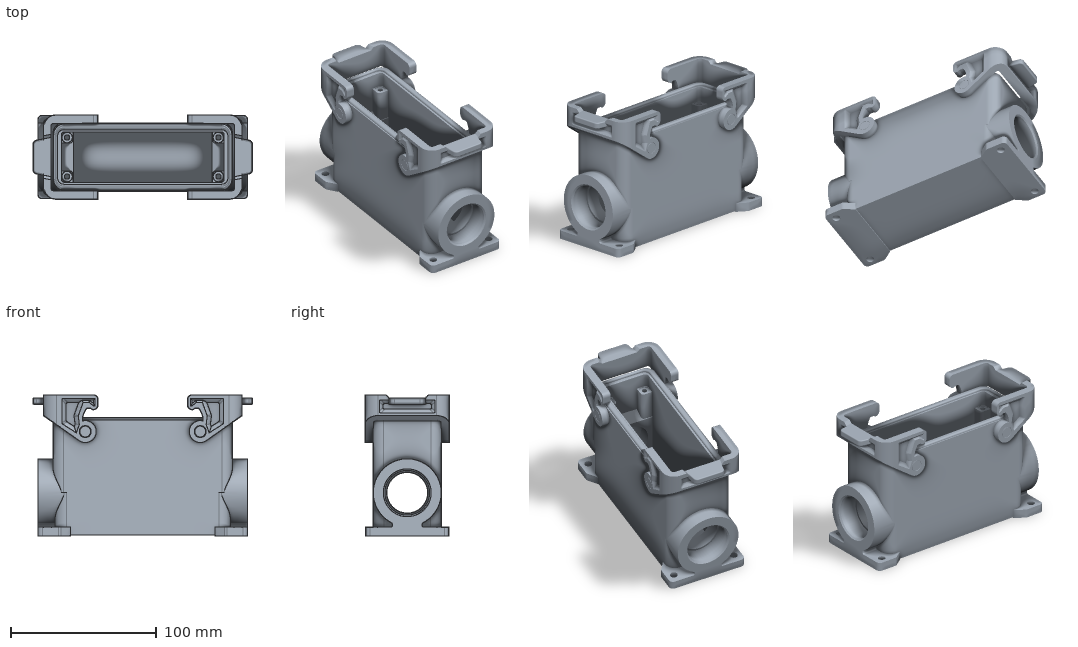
import cadquery as cq
import math

BODY_HALF_Y = 23.5
UPPER_HALF_X = 61.5
UPPER_CORNER_R = 7.2
LOWER_HALF_X = 60.0
LOWER_CORNER_R = 7.7
BODY_BOTTOM_Z = 0.8
BODY_STEP_Z = 30.1
SHOULDER_Z = 79.6
RIM_TOP_Z = 81.3
RIM_HALF_X = 61.1
RIM_HALF_Y = 22.7
RIM_EDGE_R = 1.4
RIM_LEDGE_HALF_X = 58.4
RIM_LEDGE_HALF_Y = 18.7
RIM_LEDGE_CORNER_R = 4.2
RIM_INNER_EDGE_R = 1.2

CAVITY_HALF_X = 55.8
CAVITY_HALF_Y = 17.3
CAVITY_CORNER_R = 2.3
FLOOR_Z = 4.5
FLOOR_HALF_X = 47.5
RAMP_BOTTOM_Z = 46.7
RAMP_HEIGHT = 3.9

POST_TOP_Z = 69.0
POST_X = 51.9
POST_Y = 13.4
POST_HALF = 3.9
POST_INNER_R = 2.3
POST_HOLE_D = 3.6
POST_RING_D = 7.2
POST_RING_DEPTH = 0.3

ENTRY_HALF_X = 72.0
ENTRY_Z = 29.8
ENTRY_R = 23.3
ENTRY_BORE_R = 15.4
ENTRY_BORE_DEPTH = 14.1
ENTRY_CHAMFER = 1.0
ENTRY_HOLE_R = 14.0
WEB_HALF_Y = 10.2
WEB_FILLET = 1.2

FOOT_HEIGHT = 6.2
FOOT_HALF_Y = 28.6
FOOT_INNER_X = 49.7
FOOT_BEND_X = 56.9
FOOT_CORNER_R = 3
FOOT_HOLE_D = 5.4
FOOT_HOLE_X = 65.3
FOOT_HOLE_Y = 23.0

LEVER_TOP_Z = 96.9
LEVER_HALF_X = 68.2
LEVER_WIDTH = 58.0
LEVER_HALF_Y = LEVER_WIDTH / 2
LEVER_INNER_HALF_Y = 23.2
LEVER_CORNER_R = 9
LEVER_END_WALL = 5.1
LEVER_INNER_R = 2.3
LEVER_HEEL_Z = 82.8
PIVOT_X = 39.5
PIVOT_Z = 71.8
HUB_R = 7.5
PIN_R = 4.0
PIN_GROOVE = 0.3
PIN_GROOVE_DEPTH = 0.5
THROAT_X = -41.2
THROAT_ARC_Z = 81.0
HOOK_ROOF_X = -38.5
HOOK_ROOF_END_X = -35.8
HOOK_ROOF_Z = 87.6
HOOK_R = 15
NOSE_X = 30.7
NOSE_BOTTOM_Z = 86.7
NOSE_TOP_R = 3
NOSE_R = 3.5
POCKET_DEPTH = 2.4
POCKET_TAPER = 50
POCKET_CORNER_R = 1.8
POCKET_BACK_X = -55.4
POCKET_TOP_Z = 94.5
NOSE_POCKET_X = -32.7
NOSE_POCKET_DEPTH = 1.0

TAB_HALF_X = 75.2
TAB_BOTTOM_Z = 90.5
TAB_TOP_Z = 94.8
TAB_ROOT_HALF_Y = 13.4
TAB_TIP_HALF_Y = 11.1
TAB_CORNER_R = 3
TAB_EDGE_R = 0.8
NOTCH_TAPER = 45
RECESS_HALF_Y = 19.1
RECESS_BOTTOM_Z = 84.6
RECESS_TOP_Z = 93.5
RECESS_DEPTH = 2.1

PICK_MARGIN = 0.2


def block(half_x, half_y, z0, z1, corner_r):
    """Upright block centred on the Z axis with rounded vertical edges."""
    plan = cq.Workplane("XY").workplane(offset=z0).rect(2 * half_x, 2 * half_y)
    return plan.extrude(z1 - z0).edges("|Z").fillet(corner_r)


def both_ends(solid):
    return solid.union(solid.mirror("YZ"))


def both_sides(solid):
    return solid.union(solid.mirror("XZ"))


def make_shell():
    """Solid body with a stepped outline and a rounded sealing rim around the mouth."""
    lower = block(LOWER_HALF_X, BODY_HALF_Y, BODY_BOTTOM_Z, BODY_STEP_Z, LOWER_CORNER_R)
    upper = block(UPPER_HALF_X, BODY_HALF_Y, BODY_STEP_Z, SHOULDER_Z, UPPER_CORNER_R)
    rim = block(RIM_HALF_X, RIM_HALF_Y, BODY_STEP_Z, RIM_TOP_Z, UPPER_CORNER_R)
    rim = rim.faces(">Z").edges().fillet(RIM_EDGE_R)
    mouth = block(RIM_LEDGE_HALF_X, RIM_LEDGE_HALF_Y, SHOULDER_Z, RIM_TOP_Z, RIM_LEDGE_CORNER_R)
    shell = lower.union(upper).union(rim).cut(mouth)
    inner_edge = cq.selectors.BoxSelector(
        (-RIM_LEDGE_HALF_X - PICK_MARGIN, -RIM_LEDGE_HALF_Y - PICK_MARGIN, RIM_TOP_Z - PICK_MARGIN),
        (RIM_LEDGE_HALF_X + PICK_MARGIN, RIM_LEDGE_HALF_Y + PICK_MARGIN, RIM_TOP_Z + PICK_MARGIN),
    )
    return shell.edges(inner_edge).fillet(RIM_INNER_EDGE_R)


def make_cavity():
    """Straight-walled pocket whose ends step inward over a shallow ramp."""
    side = [
        (FLOOR_HALF_X, FLOOR_Z),
        (FLOOR_HALF_X, RAMP_BOTTOM_Z),
        (CAVITY_HALF_X, RAMP_BOTTOM_Z + RAMP_HEIGHT),
        (CAVITY_HALF_X, RIM_TOP_Z),
    ]
    outline = side + [(-x, z) for x, z in reversed(side)]
    length_profile = cq.Workplane("XZ").polyline(outline).close().extrude(CAVITY_HALF_Y, both=True)
    walls = block(CAVITY_HALF_X, CAVITY_HALF_Y, FLOOR_Z, RIM_TOP_Z, CAVITY_CORNER_R)
    return length_profile.intersect(walls)


def make_foot():
    half = [
        (-FOOT_INNER_X, BODY_HALF_Y),
        (-FOOT_BEND_X, FOOT_HALF_Y),
        (-ENTRY_HALF_X, FOOT_HALF_Y),
    ]
    outline = half + [(x, -y) for x, y in reversed(half)]
    plate = cq.Workplane("XY").polyline(outline).close().extrude(FOOT_HEIGHT)
    plate = plate.edges("|Z").edges("not >X").fillet(FOOT_CORNER_R)
    holes = [(-FOOT_HOLE_X, FOOT_HOLE_Y), (-FOOT_HOLE_X, -FOOT_HOLE_Y)]
    return plate.faces("<Z").workplane(origin=(0, 0, 0)).pushPoints(holes).hole(FOOT_HOLE_D)


def make_entry():
    """Cable entry tube on the -X end, with its foot and the web that ties them together."""
    face = cq.Workplane("YZ").workplane(offset=-ENTRY_HALF_X)
    tube = face.center(0, ENTRY_Z).circle(ENTRY_R).extrude(ENTRY_HALF_X - FLOOR_HALF_X)
    web = face.center(0, ENTRY_Z / 2).rect(2 * WEB_HALF_Y, ENTRY_Z).extrude(ENTRY_HALF_X - FOOT_INNER_X)
    entry = tube.union(web).union(make_foot())
    web_top_z = ENTRY_Z - math.sqrt(ENTRY_R**2 - WEB_HALF_Y**2)
    corners = cq.selectors.BoxSelector(
        (-ENTRY_HALF_X - PICK_MARGIN, -WEB_HALF_Y - PICK_MARGIN, FOOT_HEIGHT - PICK_MARGIN),
        (0, WEB_HALF_Y + PICK_MARGIN, web_top_z + PICK_MARGIN),
    )
    return entry.edges(corners).edges("|X").fillet(WEB_FILLET)


def make_entry_bore():
    face = cq.Workplane("YZ").workplane(offset=-ENTRY_HALF_X).center(0, ENTRY_Z)
    hole = face.circle(ENTRY_HOLE_R).extrude(ENTRY_HALF_X - FLOOR_HALF_X)
    bore = face.circle(ENTRY_BORE_R).extrude(ENTRY_BORE_DEPTH)
    mouth = face.circle(ENTRY_BORE_R + ENTRY_CHAMFER)
    lead_in = mouth.workplane(offset=ENTRY_CHAMFER).circle(ENTRY_BORE_R).loft()
    return hole.union(bore).union(lead_in)


def make_post():
    """Insert post in the (-X, +Y) corner of the cavity, rounded toward the middle."""
    height = POST_TOP_Z - RAMP_BOTTOM_Z
    post = cq.Workplane("XY").box(2 * POST_HALF, 2 * POST_HALF, height, centered=(True, True, False))
    post = post.edges("|Z and >X and <Y").fillet(POST_INNER_R)
    post = post.faces(">Z").workplane().cboreHole(POST_HOLE_D, POST_RING_D, POST_RING_DEPTH, height / 2)
    return post.translate((-POST_X, POST_Y, RAMP_BOTTOM_Z))


def lever_side_profile():
    """Side outline: back wall, sloping heel, round hub and hooked nose."""
    reach_x = LEVER_HALF_X - PIVOT_X
    drop_z = LEVER_HEEL_Z - PIVOT_Z
    slope = math.atan2(drop_z, reach_x) + math.asin(HUB_R / math.hypot(reach_x, drop_z))
    hub_tangent = (-PIVOT_X - HUB_R * math.sin(slope), PIVOT_Z - HUB_R * math.cos(slope))
    hub_right = (-PIVOT_X + HUB_R, PIVOT_Z)
    hub_top = (THROAT_X, PIVOT_Z + math.sqrt(HUB_R**2 - (THROAT_X + PIVOT_X) ** 2))
    nose_centre = (-NOSE_X - NOSE_R, NOSE_BOTTOM_Z + NOSE_R)
    diagonal = math.sqrt(0.5)
    return (
        cq.Workplane("XZ")
        .moveTo(-LEVER_HALF_X, LEVER_TOP_Z)
        .lineTo(-LEVER_HALF_X, LEVER_HEEL_Z)
        .lineTo(*hub_tangent)
        .threePointArc(hub_right, hub_top)
        .lineTo(THROAT_X, THROAT_ARC_Z)
        .radiusArc((HOOK_ROOF_X, HOOK_ROOF_Z), HOOK_R)
        .lineTo(HOOK_ROOF_END_X, HOOK_ROOF_Z)
        .lineTo(nose_centre[0], NOSE_BOTTOM_Z)
        .threePointArc(
            (nose_centre[0] + NOSE_R * diagonal, nose_centre[1] - NOSE_R * diagonal),
            (-NOSE_X, nose_centre[1]),
        )
        .lineTo(-NOSE_X, LEVER_TOP_Z - NOSE_TOP_R)
        .radiusArc((-NOSE_X - NOSE_TOP_R, LEVER_TOP_Z), -NOSE_TOP_R)
        .close()
        .extrude(LEVER_HALF_Y, both=True)
    )


def lever_pocket():
    """Sloped-wall pocket in the -Y lever arm, with a shallow branch into the nose."""
    main = [
        (POCKET_BACK_X, POCKET_TOP_Z),
        (-39.9, POCKET_TOP_Z),
        (-44.2, 82.5),
        (-43.5, 76.6),
        (-45.6, 70.9),
        (POCKET_BACK_X, 77.2),
    ]
    nose = [
        (-42.9, POCKET_TOP_Z),
        (NOSE_POCKET_X, POCKET_TOP_Z),
        (NOSE_POCKET_X, 89.4),
        (-33.7, 89.4),
        (-36.9, 91.8),
        (-42.1, 91.8),
    ]
    face = cq.Workplane("XZ", origin=(0, -LEVER_HALF_Y, 0))
    main_pocket = face.polyline(main).close().extrude(-POCKET_DEPTH, taper=POCKET_TAPER)
    back_corners = cq.selectors.BoxSelector(
        (POCKET_BACK_X, -LEVER_HALF_Y, 0),
        (POCKET_BACK_X + POCKET_DEPTH, 0, LEVER_TOP_Z),
    )
    main_pocket = main_pocket.edges("not #Y").edges(back_corners).fillet(POCKET_CORNER_R)
    nose_pocket = face.polyline(nose).close().extrude(-NOSE_POCKET_DEPTH, taper=POCKET_TAPER)
    return main_pocket.union(nose_pocket)


def pin_groove():
    face = cq.Workplane("XZ", origin=(-PIVOT_X, -LEVER_HALF_Y, PIVOT_Z))
    return face.circle(PIN_R).circle(PIN_R - PIN_GROOVE).extrude(-PIN_GROOVE_DEPTH)


def tab_outline():
    return [
        (LEVER_END_WALL - LEVER_HALF_X, -TAB_ROOT_HALF_Y),
        (LEVER_END_WALL - LEVER_HALF_X, TAB_ROOT_HALF_Y),
        (-TAB_HALF_X, TAB_TIP_HALF_Y),
        (-TAB_HALF_X, -TAB_TIP_HALF_Y),
    ]


def make_tab():
    tab = cq.Workplane("XY").workplane(offset=TAB_BOTTOM_Z).polyline(tab_outline()).close()
    tab = tab.extrude(TAB_TOP_Z - TAB_BOTTOM_Z).edges("|Z and <X").fillet(TAB_CORNER_R)
    return tab.faces("<X").edges(">Z or <Z").fillet(TAB_EDGE_R)


def make_lever():
    outer = block(LEVER_HALF_X, LEVER_HALF_Y, 0, LEVER_TOP_Z, LEVER_CORNER_R)
    inner = block(LEVER_HALF_X - LEVER_END_WALL, LEVER_INNER_HALF_Y, 0, LEVER_TOP_Z, LEVER_INNER_R)
    lever = lever_side_profile().intersect(outer).cut(inner)
    lever = lever.cut(both_sides(lever_pocket().union(pin_groove())))

    end_face = cq.Workplane("YZ").workplane(offset=-LEVER_HALF_X)
    recess_height = RECESS_TOP_Z - RECESS_BOTTOM_Z
    recess = end_face.center(0, RECESS_BOTTOM_Z + recess_height / 2).rect(2 * RECESS_HALF_Y, recess_height)
    recess = recess.extrude(RECESS_DEPTH, taper=POCKET_TAPER)
    recess = recess.edges("not (#X)").fillet(POCKET_CORNER_R)
    notch = cq.Workplane("XY").workplane(offset=TAB_TOP_Z).polyline(tab_outline()).close()
    notch = notch.extrude(LEVER_TOP_Z - TAB_TOP_Z, taper=-NOTCH_TAPER)
    return lever.cut(recess).cut(notch).union(make_tab())


housing = make_shell()
housing = housing.union(both_ends(make_entry()))
housing = housing.cut(make_cavity()).cut(both_ends(make_entry_bore()))
housing = housing.union(both_ends(both_sides(make_post())))
result = housing.union(both_ends(make_lever()))